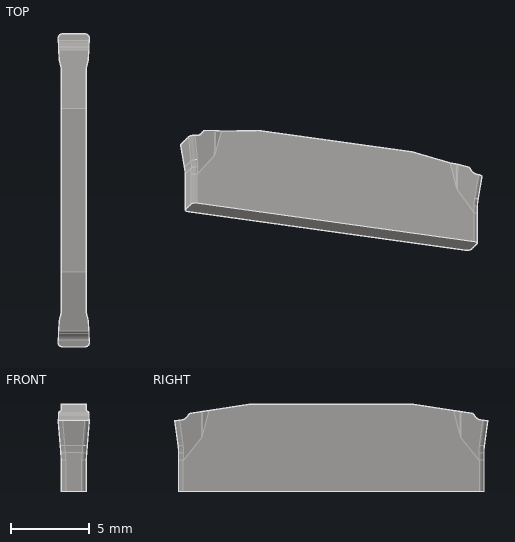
import cadquery as cq
import math

length = 19.86
height = 5.54
shank_width = 1.6
head_width = 2.0

tip_height = 4.49
land_depth = 0.44
land_angle = 7.0
groove_end_depth = 0.86
groove_end_height = 4.84
lip_depth = 1.03
lip_height = 4.97
crown_depth = 4.75

clearance_angle = 7.8
clearance_end_height = 2.92
runout_end_height = 2.46

corner_radius = 0.3
side_back_angle = 5.0
side_draft_angle = 4.05
shoulder_depth = 1.73
shoulder_angle = 15.0
shoulder_radius = 0.4

head_end_depth = 2.7
head_floor = 1.6
overhang = 0.1

tip_y = length / 2
land_height = tip_height + land_depth * math.tan(math.radians(land_angle))
clearance_slope = math.tan(math.radians(clearance_angle))
clearance_depth = (tip_height - clearance_end_height) * clearance_slope
runout_height = clearance_end_height - runout_end_height
runout_half_slope = math.tan(math.radians(clearance_angle / 2))
shank_depth = clearance_depth + runout_height * runout_half_slope


def at(depth, z):
    """Point of the side outline at a depth behind the +Y tip."""
    return (tip_y - depth, z)


def side_slab(width):
    """Half-length side outline extruded to a width centred on X = 0."""
    return (
        cq.Workplane("YZ")
        .moveTo(0, 0)
        .lineTo(*at(shank_depth, 0))
        .lineTo(*at(shank_depth, runout_end_height))
        .tangentArcPoint(at(clearance_depth, clearance_end_height), relative=False)
        .lineTo(*at(0, tip_height))
        .lineTo(*at(land_depth, land_height))
        .tangentArcPoint(at(groove_end_depth, groove_end_height), relative=False)
        .tangentArcPoint(at(lip_depth, lip_height), relative=False)
        .lineTo(*at(crown_depth, height))
        .lineTo(0, height)
        .close()
        .extrude(width / 2, both=True)
    )


def round_end_corners(body):
    """Round both upright corners of the +Y end, all the way up to the tip."""
    end_zone = cq.selectors.BoxSelector(
        (-head_width, tip_y - shank_depth - overhang, 0),
        (head_width, tip_y + overhang, tip_height),
    )
    return body.edges(end_zone).edges("not |X").fillet(corner_radius)


def head_half_width(depth, z):
    """Half width of the head, narrowing inward and downward from the tip."""
    back_slope = math.tan(math.radians(side_back_angle))
    draft_slope = math.tan(math.radians(side_draft_angle))
    shoulder_slope = math.tan(math.radians(shoulder_angle))
    front_depth = min(depth, shoulder_depth)
    half = head_width / 2 - back_slope * (front_depth - corner_radius)
    half -= draft_slope * (tip_height - z)
    return half - shoulder_slope * (depth - front_depth)


def head_plan(z):
    """Closed plan outline of the head at one height."""
    depths = (-overhang, shoulder_depth, head_end_depth)
    right = [cq.Vector(head_half_width(d, z), tip_y - d, z) for d in depths]
    left = [cq.Vector(-p.x, p.y, z) for p in reversed(right)]
    return cq.Wire.makePolygon(right + left, close=True)


def make_head():
    """Cutting head with drafted sides that run out into the shank."""
    plans = [head_plan(head_floor), head_plan(height + overhang)]
    wedge = cq.Workplane(cq.Solid.makeLoft(plans, True))
    shoulder_zone = cq.selectors.BoxSelector(
        (-head_width, tip_y - shoulder_depth - overhang, head_floor + overhang),
        (head_width, tip_y - shoulder_depth + overhang, height),
    )
    wedge = wedge.edges(shoulder_zone).fillet(shoulder_radius)
    return round_end_corners(side_slab(head_width + 2 * overhang).intersect(wedge))


half_part = round_end_corners(side_slab(shank_width)).union(make_head())
result = half_part.union(half_part.mirror("XZ"))